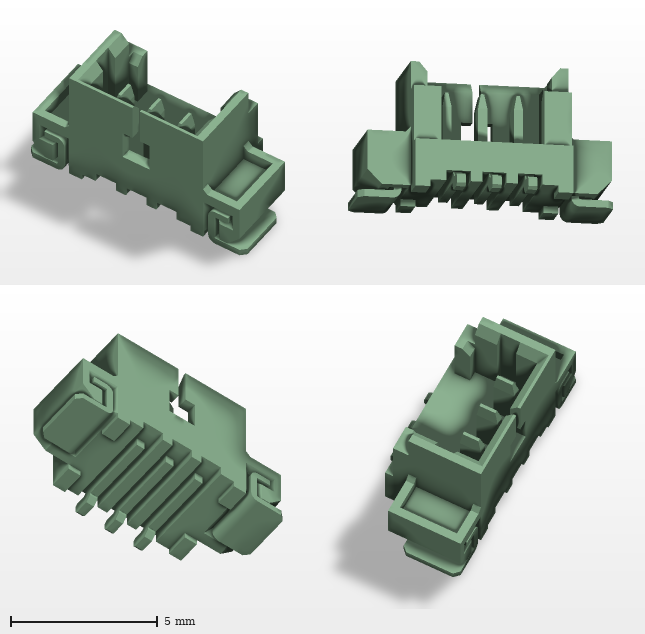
import cadquery as cq

SIDES = (-1, 1)

body_half_width = 2.75
body_depth = 2.8
body_top = 4.7
standoff = 0.3
floor_top = 1.735
wall = 0.3

cavity_half_width = 2.16
cavity_front = 0.4
groove_half_width = 2.46
groove_front = 1.21
groove_rear = 1.96
lead_in_width = 0.29
lead_in_height = 0.35

rear_face = 3.7
hook_rear = 3.4
hook_top = 3.7
hook_inner = 1.8
hook_chamfer = 0.29

window_width = 1.1
window_bottom = 2.1
window_top = 3.25
slit_width = 0.3

foot_width = 0.52
foot_depth = rear_face - body_depth
foot_bottom = 0.06
notch_width = 0.845
notch_top = 0.66

wing_half_width = 4.25
wing_top = 2.2
wing_bottom_chamfer = 0.5
wing_root_chamfer = 0.18
wing_pocket_floor = floor_top

tab_half_width = 4.45
tab_depth = 2.2
tab_thickness = 0.26
tab_upright = 2.96
tab_arm_end = 3.77
tab_top = 1.53
tab_inner_radius = 0.045
tab_outer_radius = tab_inner_radius + tab_thickness
tab_corner_chamfer = 0.2
recess_flare = tab_upright - body_half_width

pin_pitch = 1.25
pin_positions = (-pin_pitch, 0, pin_pitch)
pin_width = 0.32
pin_front = 0.71
pin_rear = 1.52
pin_top = 4.005
pin_taper_height = 0.52
pin_tip_width = 0.12
pin_tip_front = 0.85
pin_tip_rear = 1.47
pin_bar = 0.45
tail_end = 4.2
tail_chamfer = 0.11
jog_bottom_end = 3.57
jog_slope = 0.205


def block(x0, x1, y0, y1, z0, z1):
    """Box between two opposite corners, given in any order along X."""
    return (
        cq.Workplane("XY")
        .box(abs(x1 - x0), y1 - y0, z1 - z0, centered=False)
        .translate((min(x0, x1), y0, z0))
    )


def centered_block(width, y0, y1, z0, z1, x=0):
    return block(x - width / 2, x + width / 2, y0, y1, z0, z1)


def along_y(points, y0, y1):
    """Prism with an X-Z outline, running from y0 to y1."""
    return cq.Workplane("XZ", origin=(0, y0, 0)).polyline(points).close().extrude(y0 - y1)


def along_x(points, x0, x1):
    """Prism with a Y-Z outline, running from x0 to x1."""
    return cq.Workplane("YZ", origin=(x0, 0, 0)).polyline(points).close().extrude(x1 - x0)


def make_pin(x):
    """Tapered blade on a bar that runs back through the floor and jogs down to the board."""
    shoulder = pin_top - pin_taper_height
    run_top = standoff + pin_bar
    side_outline = [
        (pin_front, shoulder),
        (pin_front, standoff),
        (jog_bottom_end - jog_slope, standoff),
        (jog_bottom_end - jog_slope, jog_slope),
        (jog_bottom_end, 0),
        (tail_end - tail_chamfer, 0),
        (tail_end, tail_chamfer),
        (tail_end, pin_bar - tail_chamfer),
        (tail_end - tail_chamfer, pin_bar),
        (rear_face, pin_bar),
        (rear_face - standoff, run_top),
        (pin_rear, run_top),
        (pin_rear, shoulder),
    ]
    shank = along_x(side_outline, x - pin_width / 2, x + pin_width / 2)
    tip = (
        cq.Workplane("XY", origin=(x, (pin_front + pin_rear) / 2, shoulder))
        .rect(pin_width, pin_rear - pin_front)
        .workplane(offset=pin_taper_height)
        .center(0, (pin_tip_front + pin_tip_rear - pin_front - pin_rear) / 2)
        .rect(pin_tip_width, pin_tip_rear - pin_tip_front)
        .loft(ruled=True)
    )
    return shank.union(tip)


def make_tab(side):
    """Bent strip: foot on the board, upright, and an arm held in the wing."""
    upright_outer = tab_upright + tab_thickness
    outline = [
        (tab_half_width, 0),
        (tab_upright, 0),
        (tab_upright, tab_top),
        (tab_arm_end, tab_top),
        (tab_arm_end, tab_top - tab_thickness),
        (upright_outer, tab_top - tab_thickness),
        (upright_outer, tab_thickness),
        (tab_half_width, tab_thickness),
    ]
    tab = along_y(outline, 0, tab_depth)
    tab = tab.faces("<X").edges("|Y").fillet(tab_outer_radius)
    inner_bend = cq.selectors.NearestToPointSelector((upright_outer, tab_depth / 2, tab_thickness))
    tab = tab.edges(inner_bend).fillet(tab_inner_radius)
    tab = tab.faces(">X").edges("|Z").chamfer(tab_corner_chamfer)
    return tab if side > 0 else tab.mirror("YZ")


def recess_outline(margin):
    """Tab-shaped outline with square corners, open downwards, widened by the margin all round."""
    inner = tab_upright - margin
    outer = tab_upright + tab_thickness + margin
    arm_end = tab_arm_end + margin
    top = tab_top + margin
    arm_bottom = tab_top - tab_thickness - margin
    return [
        (inner, standoff),
        (inner, top),
        (arm_end, top),
        (arm_end, arm_bottom),
        (outer, arm_bottom),
        (outer, standoff),
    ]


def tab_recess():
    """Blind recess for the right tab, flared at its front and bottom mouths."""
    slot = along_y(recess_outline(0), 0, tab_depth)
    front_flare = (
        cq.Workplane("XZ")
        .polyline(recess_outline(recess_flare))
        .close()
        .workplane(offset=-recess_flare)
        .polyline(recess_outline(0))
        .close()
        .loft(ruled=True)
    )
    slot_center = tab_upright + tab_thickness / 2
    bottom_flare = (
        cq.Workplane("XY", origin=(slot_center, tab_depth / 2, standoff))
        .rect(tab_thickness + 2 * recess_flare, tab_depth + 2 * recess_flare)
        .workplane(offset=recess_flare)
        .rect(tab_thickness, tab_depth)
        .loft(ruled=True)
    )
    return slot.union(front_flare).union(bottom_flare)


def make_wing():
    """Right wing with its top pocket and tab recess."""
    outline = [
        (body_half_width, standoff),
        (wing_half_width - wing_bottom_chamfer, standoff),
        (wing_half_width, standoff + wing_bottom_chamfer),
        (wing_half_width, wing_top),
        (body_half_width + wing_root_chamfer, wing_top),
        (body_half_width, wing_top + wing_root_chamfer),
    ]
    pocket = block(
        body_half_width,
        wing_half_width - wall,
        wall,
        body_depth - wall,
        wing_pocket_floor,
        body_top,
    )
    return along_y(outline, 0, body_depth).cut(pocket).cut(tab_recess())


def make_hook(side):
    hook = block(side * hook_inner, side * body_half_width, body_depth, hook_rear, floor_top, hook_top)
    corner = [
        (body_depth, hook_top),
        (body_depth + hook_chamfer, hook_top),
        (body_depth, hook_top - hook_chamfer),
    ]
    return hook.cut(along_x(corner, side * hook_inner, side * cavity_half_width))


def make_feet(side):
    inner = side * (body_half_width - foot_width)
    outer = side * body_half_width
    front_foot = block(inner, outer, 0, foot_depth, foot_bottom, standoff)
    rear_foot = block(inner, outer, body_depth, rear_face, foot_bottom, standoff)
    return front_foot.union(rear_foot)


def mating_cavity():
    cavity = centered_block(2 * cavity_half_width, cavity_front, body_depth, floor_top, body_top)
    grooves = centered_block(2 * groove_half_width, groove_front, groove_rear, floor_top, body_top)
    return cavity.union(grooves)


def lead_in():
    """Sloped rim around the three walled sides of the cavity; it runs out at the open rear."""
    depth = body_depth - cavity_front
    return (
        cq.Workplane("XY", origin=(0, cavity_front + depth / 2, body_top - lead_in_height))
        .rect(2 * cavity_half_width, depth)
        .workplane(offset=lead_in_height)
        .center(0, -lead_in_width / 2)
        .rect(2 * (cavity_half_width + lead_in_width), depth + lead_in_width)
        .loft(ruled=True)
    )


def make_housing(pins):
    housing = centered_block(2 * body_half_width, 0, body_depth, standoff, body_top)
    housing = housing.union(
        centered_block(2 * body_half_width, body_depth, rear_face, standoff, floor_top)
    )
    housing = housing.cut(mating_cavity()).cut(lead_in())
    housing = housing.cut(centered_block(window_width, 0, cavity_front, window_bottom, window_top))
    housing = housing.cut(centered_block(slit_width, 0, cavity_front, window_top, body_top))
    wing = make_wing()
    housing = housing.union(wing).union(wing.mirror("YZ"))
    for side in SIDES:
        housing = housing.union(make_hook(side)).union(make_feet(side))
    for x in pin_positions:
        housing = housing.cut(centered_block(notch_width, 0, rear_face, standoff, notch_top, x))
    for pin in pins:
        housing = housing.cut(pin)
    return housing


pins = [make_pin(x) for x in pin_positions]
tabs = [make_tab(side) for side in SIDES]
housing = make_housing(pins)

bodies = [housing, *pins, *tabs]
result = cq.Compound.makeCompound([body.solids().val() for body in bodies])